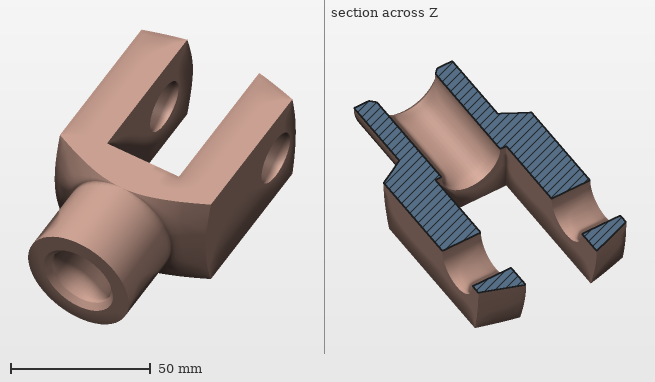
import cadquery as cq
import math

length = 105.0
width = 63.0
height = 42.0

shank_radius = height / 2
shank_length = 30.0
bore_diameter = 24.9
bore_mouth_diameter = 29.0
bore_chamfer = (bore_mouth_diameter - bore_diameter) / 2

slot_width = 30.0
slot_bottom = 45.0
pin_diameter = 20.0
pin_position = 85.0

shoulder_angle = math.radians(30)
tip_angle = math.radians(20)


def turned_envelope():
    """Shank, conical shoulder and conical tips as one solid of revolution."""
    outer_radius = math.hypot(width, height) / 2 + 1.0
    shoulder_end = shank_length + (outer_radius - shank_radius) * math.tan(shoulder_angle)
    tip_radius = slot_width / 2
    tip_start = length - (outer_radius - tip_radius) * math.tan(tip_angle)
    return (
        cq.Workplane("XY")
        .moveTo(0, 0)
        .lineTo(shank_radius, 0)
        .lineTo(shank_radius, shank_length)
        .lineTo(outer_radius, shoulder_end)
        .lineTo(outer_radius, tip_start)
        .lineTo(tip_radius, length)
        .lineTo(0, length)
        .close()
        .revolve(360, (0, 0, 0), (0, 1, 0))
    )


def fork_body():
    """Rectangular bar trimmed by the turned envelope."""
    bar = cq.Workplane("XY").box(width, length, height).translate((0, length / 2, 0))
    return bar.intersect(turned_envelope())


def slot():
    depth = length - slot_bottom
    return cq.Workplane("XY").box(slot_width, depth, height).translate((0, slot_bottom + depth / 2, 0))


def bore():
    """Chamfered bore from the shank face into the slot."""
    bore_radius = bore_diameter / 2
    return (
        cq.Workplane("XY")
        .moveTo(0, 0)
        .lineTo(bore_mouth_diameter / 2, 0)
        .lineTo(bore_radius, bore_chamfer)
        .lineTo(bore_radius, slot_bottom)
        .lineTo(0, slot_bottom)
        .close()
        .revolve(360, (0, 0, 0), (0, 1, 0))
    )


def pin_hole():
    """Cross hole along X through both fork arms."""
    return (
        cq.Workplane("YZ")
        .center(pin_position, 0)
        .circle(pin_diameter / 2)
        .extrude(width / 2, both=True)
    )


result = fork_body().cut(slot()).cut(bore()).cut(pin_hole())